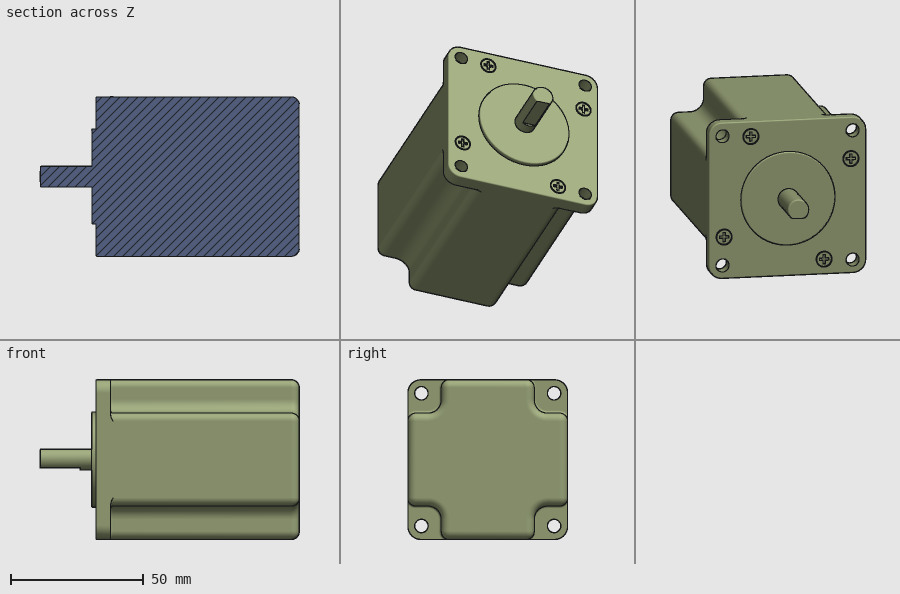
import cadquery as cq
import math

total_length = 97.5
square = 60.2

shaft_tip_x = -total_length / 2
rear_x = total_length / 2
flange_front_x = shaft_tip_x + 21.0
flange_thickness = 5.6
flange_rear_x = flange_front_x + flange_thickness
flange_corner_radius = 5.0

notch_size = 12.6
notch_inner_radius = 5.0
body_edge_radius = 3.0
notch_end_radius = 0.9

pilot_diameter = 36.0
pilot_height = 1.6
shaft_diameter = 8.0
flat_length = 15.0
flat_depth = 0.9
small_edge_radius = 0.5

mount_spacing = 49.9
mount_diameter = 5.0
screw_circle_radius = 28.1
screw_first_angle = 60
screw_count = 4
screw_hole_diameter = 6.0
screw_head_diameter = 5.7
screw_gap_depth = 0.5
cross_length = 3.5
cross_width = 0.9
cross_depth = 0.5

tolerance = 0.01


def plane_at(x):
    """Plane across the axis at x, with local axes along Y and Z."""
    return cq.Workplane("YZ", origin=(x, 0, 0))


def inside_square(side):
    """Selector for edges centred within a square of this side around the axis."""
    reach = side / 2 + tolerance
    return cq.selectors.BoxSelector(
        (-total_length, -reach, -reach),
        (total_length, reach, reach),
    )


def is_on_outer_side(edge):
    """True for an edge that lies on one of the four outer sides."""
    center = edge.Center()
    return max(abs(center.y), abs(center.z)) > square / 2 - tolerance


def make_envelope():
    """Rounded square bar that bounds the flange and the body."""
    length = rear_x - flange_front_x
    bar = plane_at(flange_front_x).rect(square, square).extrude(length)
    return bar.edges("|X").fillet(flange_corner_radius)


def make_body():
    """Notched body behind the flange, rounded along its length and round its rear end."""
    length = rear_x - flange_rear_x
    arm_width = square - 2 * notch_size
    start = plane_at(flange_rear_x)
    body = start.rect(square, arm_width).extrude(length)
    body = body.union(start.rect(arm_width, square).extrude(length))
    body = body.edges("|X").edges(inside_square(arm_width)).fillet(notch_inner_radius)
    outer_edges = body.edges("|X").filter(is_on_outer_side)
    body = body.newObject(outer_edges.vals()).fillet(body_edge_radius)
    return body.faces(">X").edges().fillet(body_edge_radius)


def make_housing():
    """Flange and body joined with a fillet at the notch ends."""
    plate = plane_at(flange_front_x).rect(2 * square, 2 * square).extrude(flange_thickness)
    housing = plate.union(make_body())
    plate_rear = housing.faces("<X[1]")
    joint = plate_rear.edges(inside_square(square))
    housing = housing.newObject(joint.vals()).fillet(notch_end_radius)
    housing = housing.intersect(make_envelope())
    return housing.faces("<X").edges().fillet(small_edge_radius)


def make_pilot():
    """Round boss on the front of the flange."""
    pilot = plane_at(flange_front_x).circle(pilot_diameter / 2).extrude(-pilot_height)
    return pilot.faces("<X").edges().fillet(small_edge_radius)


def make_shaft():
    """Round shaft with a flat along the underside of its tip."""
    length = flange_front_x - shaft_tip_x
    shaft = plane_at(shaft_tip_x).circle(shaft_diameter / 2).extrude(length)
    shaft = shaft.faces("<X").edges().fillet(small_edge_radius)
    flat = cq.Workplane("XY", origin=(shaft_tip_x, 0, -shaft_diameter / 2)).box(
        flat_length, shaft_diameter, flat_depth, centered=(False, True, False)
    )
    return shaft.cut(flat)


def make_mount_holes():
    """Cutter for the four corner holes through the flange."""
    return (
        plane_at(flange_front_x)
        .rect(mount_spacing, mount_spacing, forConstruction=True)
        .vertices()
        .circle(mount_diameter / 2)
        .extrude(flange_thickness)
    )


def make_screw_recesses():
    """Cutter for the gap around each flush screw head and for its cross drive."""
    points = []
    for i in range(screw_count):
        angle = math.radians(screw_first_angle + i * 360 / screw_count)
        points.append((screw_circle_radius * math.cos(angle), screw_circle_radius * math.sin(angle)))
    face = plane_at(flange_front_x).pushPoints(points)
    gaps = face.circle(screw_hole_diameter / 2).extrude(screw_gap_depth)
    gaps = gaps.cut(face.circle(screw_head_diameter / 2).extrude(screw_gap_depth))
    bars = face.rect(cross_length, cross_width).extrude(cross_depth)
    posts = face.rect(cross_width, cross_length).extrude(cross_depth)
    return gaps.union(bars).union(posts)


result = make_housing().union(make_pilot()).union(make_shaft())
result = result.cut(make_mount_holes()).cut(make_screw_recesses())